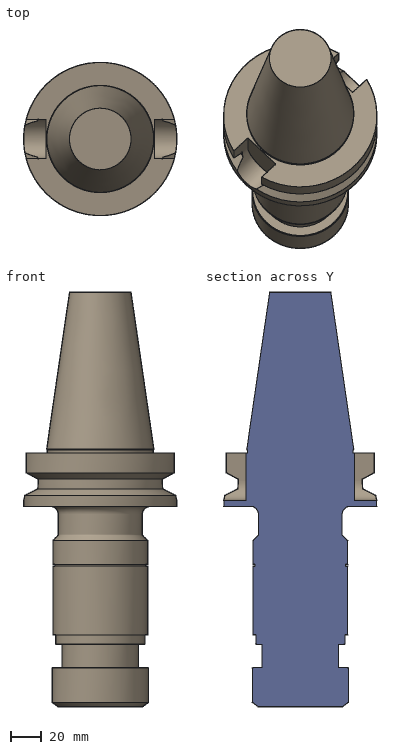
import cadquery as cq
import math

total_length = 270.4

taper_length = 101.8
gauge_diameter = 69.85
taper_ratio = 7 / 24
taper_overrun = 0.5
taper_small_diameter = gauge_diameter - taper_ratio * taper_length
taper_large_diameter = gauge_diameter + taper_ratio * taper_overrun
relief_diameter = 69.4
relief_chamfer_height = 0.6
flange_offset = 3.0

flange_diameter = 100.0
flange_thickness = 35.0
groove_floor_diameter = 85.0
groove_top_depth = 13.0
groove_chamfer_height = 4.2
groove_floor_width = 6.3

slot_width = 25.7
slot_corner_radius = 12.5
slot_depth = 31.0
slot_floor_distance = 35.4

neck_diameter = 55.0
neck_fillet_radius = 5.0

body_diameter = 62.0
shoulder_fillet_radius = 1.0
shoulder_angle = math.radians(45)
shoulder_height = (body_diameter - neck_diameter) / 2 / math.tan(shoulder_angle)
body_collar_height = 15.5
body_sleeve_height = 44.7
body_groove_diameter = 59.4
body_groove_width = 1.2
body_step_diameter = 58.4
body_step_height = 6.4
body_step_chamfer = 0.5

stub_diameter = 50.0
stub_height = 14.8
nut_diameter = 63.0
nut_height = 25.8
nut_bottom_diameter = 55.0
nut_bottom_chamfer_height = 3.0
nut_top_chamfer = 0.5

taper_top = taper_length
taper_bottom = -taper_overrun
flange_top = -flange_offset
flange_bottom = flange_top - flange_thickness
groove_top = flange_top - groove_top_depth
groove_floor_top = groove_top - groove_chamfer_height
groove_floor_bottom = groove_floor_top - groove_floor_width
groove_bottom = groove_floor_bottom - groove_chamfer_height
nut_bottom = taper_top - total_length
nut_top = nut_bottom + nut_height
step_bottom = nut_top + stub_height
step_top = step_bottom + body_step_height
sleeve_top = step_top + body_sleeve_height
collar_bottom = sleeve_top + body_groove_width
collar_top = collar_bottom + body_collar_height
neck_bottom = collar_top + shoulder_height


def disc(diameter, bottom, top):
    """Cylinder on the Z axis between two levels."""
    return cq.Workplane("XY").workplane(offset=bottom).circle(diameter / 2).extrude(top - bottom)


def cone(bottom_diameter, top_diameter, bottom, top):
    """Truncated cone on the Z axis between two levels."""
    profile = [(0, bottom), (bottom_diameter / 2, bottom), (top_diameter / 2, top), (0, top)]
    return cq.Workplane("XZ").polyline(profile).close().revolve(360, (0, 0, 0), (0, 1, 0))


def shank():
    taper = cone(taper_large_diameter, taper_small_diameter, taper_bottom, taper_top)
    relief_top = taper_bottom - relief_chamfer_height
    relief_chamfer = cone(relief_diameter, taper_large_diameter, relief_top, taper_bottom)
    relief = disc(relief_diameter, flange_top, relief_top)
    return taper.union(relief_chamfer).union(relief)


def drive_slot():
    """Slot along +X, open at the top of the flange, with large rounded bottom corners."""
    slot_bottom = cq.Workplane("XY").workplane(offset=flange_top - slot_depth)
    length = flange_diameter / 2
    return (
        slot_bottom.center(slot_floor_distance + length / 2, 0)
        .rect(length, slot_width)
        .extrude(slot_depth)
        .edges("|X and <Z")
        .fillet(slot_corner_radius)
    )


def flange():
    upper_rim = disc(flange_diameter, groove_top, flange_top)
    upper_flank = cone(groove_floor_diameter, flange_diameter, groove_floor_top, groove_top)
    groove_floor = disc(groove_floor_diameter, groove_floor_bottom, groove_floor_top)
    lower_flank = cone(flange_diameter, groove_floor_diameter, groove_bottom, groove_floor_bottom)
    lower_rim = disc(flange_diameter, flange_bottom, groove_bottom)
    body = upper_rim.union(upper_flank).union(groove_floor).union(lower_flank).union(lower_rim)
    for angle in (0, 180):
        body = body.cut(drive_slot().rotate((0, 0, 0), (0, 0, 1), angle))
    return body


def neck():
    """Neck flaring into the flange above and blending into a conical shoulder below."""
    radius = neck_diameter / 2
    tangent_length = shoulder_fillet_radius * math.tan(shoulder_angle / 2)
    tangent_out = tangent_length * math.sin(shoulder_angle)
    tangent_down = tangent_length * math.cos(shoulder_angle)
    fillet_start = flange_bottom - neck_fillet_radius
    return (
        cq.Workplane("XZ")
        .moveTo(0, collar_top)
        .lineTo(body_diameter / 2, collar_top)
        .lineTo(radius + tangent_out, neck_bottom - tangent_down)
        .radiusArc((radius, neck_bottom + tangent_length), shoulder_fillet_radius)
        .lineTo(radius, fillet_start)
        .radiusArc((radius + neck_fillet_radius, flange_bottom), neck_fillet_radius)
        .lineTo(0, flange_bottom)
        .close()
        .revolve(360, (0, 0, 0), (0, 1, 0))
    )


def chuck_body():
    collar = disc(body_diameter, collar_bottom, collar_top)
    groove = disc(body_groove_diameter, sleeve_top, collar_bottom)
    sleeve = disc(body_diameter, step_top, sleeve_top)
    step = disc(body_step_diameter, step_bottom, step_top).faces("<Z").chamfer(body_step_chamfer)
    return collar.union(groove).union(sleeve).union(step)


def nut_and_stub():
    stub = disc(stub_diameter, nut_top, step_bottom)
    chamfer_top = nut_bottom + nut_bottom_chamfer_height
    ring = disc(nut_diameter, chamfer_top, nut_top).faces(">Z").chamfer(nut_top_chamfer)
    bottom_chamfer = cone(nut_bottom_diameter, nut_diameter, nut_bottom, chamfer_top)
    return stub.union(ring).union(bottom_chamfer)


result = shank().union(flange()).union(neck()).union(chuck_body()).union(nut_and_stub())